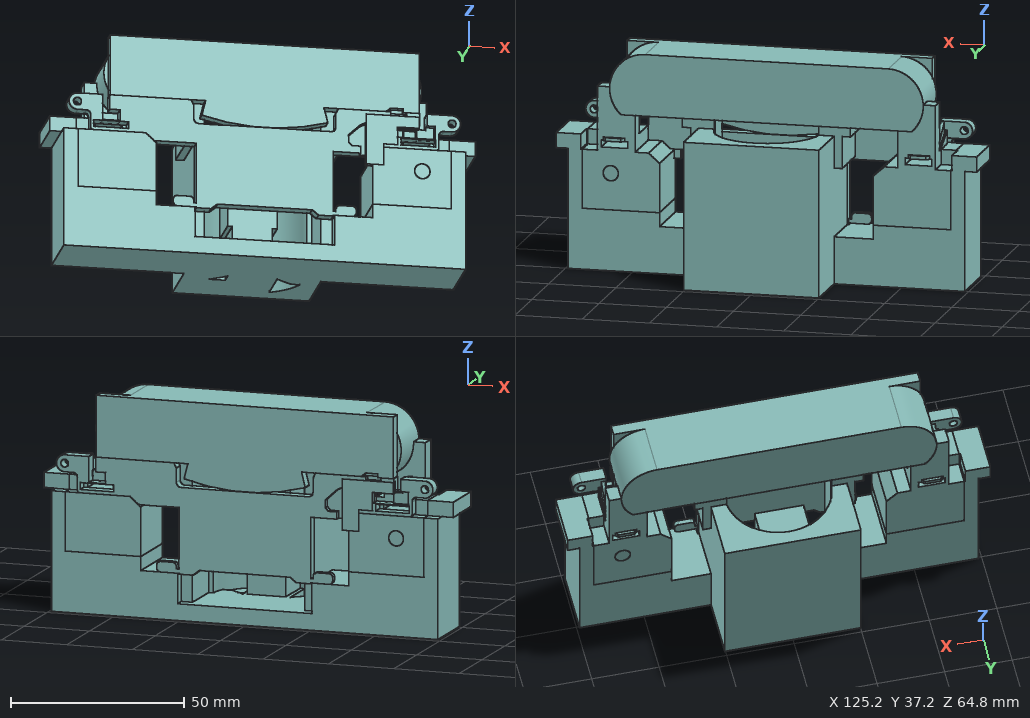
import cadquery as cq

plate_depth = 3.4
body_depth = 19.1
total_depth = 37.2
total_height = 64.8
joint_z = 35.7
split_z = 46.5

base_half = 59.1
wing_half = 62.6
wing_top = 40.2
window_floor = 14.0
tower_half = 20.1
tower_top = 43.9
shoulder_half = 22.5
shoulder_z = 34.4
flange_half = 25.0
slot_half = 20.5
slot_floor = 5.0
cavity_half = 17.1
bore_radius = 15.6
bore_y = 17.5
rib_half_top = 7.3
rib_half_bottom = 5.9
rib_step_z = 15.3
rib_top = 37.5
opening_y = 22.9
opening_corner_x = 12.0
opening_outer_x = 14.6
floor_drop = 0.6

insert_inner = 31.8
insert_outer = 54.8
insert_floor = 18.1
insert_chamfer_x = 3.3
insert_chamfer_z = 2.9
shelf_inner = 39.0
shelf_step_y = 12.4
shelf_clearance = 0.4
saddle_half = 50.3
saddle_front = 14.3
saddle_top = 54.7
slot_bottom = 36.7
slot_top = 38.7
slot_near = 41.3
slot_far = 49.2
gusset_front = 5.0
gusset_back = 13.0
outer_gusset_near = 49.8
outer_gusset_top = 44.2
inner_gusset_near = 48.3
inner_gusset_far = 49.4
contact_back = 4.3
contact_top = 42.0
left_contact_near = 42.5
left_contact_far = 47.5
right_contact_near = 41.4
right_contact_far = 44.8
bump_near = 42.2
bump_far = 48.5
bump_height = 0.9
bump_bottom = 38.7
bump_top = 39.7

cover_half = 45.4
cover_radius = 10.5
cover_arc_x = 36.2
bulge_root_half = 17.4
bulge_half = 18.5
bulge_edge_z = 42.0

arm_underside = 33.4
stem_bottom = 13.8
foot_z = 15.3
foot_outer = 15.8
foot_inner = 13.9
arm_end = 45.5
bulge_floor = 39.4
bulge_pocket_half = 20.9
bulge_pocket_fillet = 1.5
pocket_lip = 0.8
ear_depth = 4.0
ear_radius = 2.5
ear_x = 55.1
ear_hole_radius = 1.1
ear_root_radius = 1.4
leg_foot_radius = 0.8
leg_outer = 51.2
leg_inner = 47.7
notch_floor = 38.9
notch_ceiling = 42.2
notch_near = 42.5
right_notch_near = 39.0
right_notch_far = 44.9
leg_recess_far = 50.0
leg_recess_top = 42.9
rim_near = 40.0
rim_far = 50.3
hook_near = 20.9
hook_far = 26.9
hook_top = 17.1
hook_corner = 1.1
hook_depth = 1.6

latch_depth = 1.8
latch_inner = 29.8
latch_outer = 45.4
latch_top = 45.4
latch_arm_underside = 42.0
latch_foot_outer = 34.9
latch_foot_z = 30.3

lever_top = 42.8
lever_shoulder = 28.0
lever_shoulder_drop = 0.9
lever_tip = 24.7
lever_tip_top = 38.8
lever_tip_bottom = 36.5
lever_corner = 1.0
lever_throat = 28.2
lever_slot_near = 37.0
lever_slot_far = 41.7
lever_notch_far = 40.7
lever_notch_top = 47.7
lever_slope = 1.4

pin_x = 46.3
pin_z = 29.0
pin_radius = 2.3


def box(x0, x1, y0, y1, z0, z1):
    return cq.Workplane("XY").box(x1 - x0, y1 - y0, z1 - z0, centered=False).translate((x0, y0, z0))


def slab(points, y0, y1):
    """Extrude an XZ outline from depth y0 to depth y1."""
    return cq.Workplane("XZ", origin=(0, y0, 0)).polyline(points).close().extrude(y0 - y1)


def cylinder_y(x, z, radius, y0, y1):
    return cq.Workplane("XZ", origin=(x, y0, z)).circle(radius).extrude(y0 - y1)


def mirrored(solid):
    return solid.mirror("YZ")


def both_sides(solid):
    return solid.union(mirrored(solid))


def insert_profile():
    return [
        (insert_inner, insert_floor),
        (insert_outer, insert_floor),
        (insert_outer, joint_z),
        (insert_inner + insert_chamfer_x, joint_z),
        (insert_inner, joint_z - insert_chamfer_z),
    ]


def latch_profile():
    return [
        (latch_inner, latch_foot_z),
        (latch_foot_outer, latch_foot_z),
        (latch_foot_outer, slot_bottom),
        (right_notch_near, slot_bottom),
        (right_notch_near, latch_arm_underside),
        (latch_outer, latch_arm_underside),
        (latch_outer, latch_top),
        (latch_inner, latch_top),
    ]


def cover_bar():
    """Long bar with round ends and a flat underside."""
    arc_z = total_height - cover_radius
    bar = cq.Workplane("XZ", origin=(0, plate_depth, arc_z)).slot2D(
        2 * (cover_arc_x + cover_radius), 2 * cover_radius
    ).extrude(plate_depth - body_depth)
    return bar.intersect(box(-wing_half, wing_half, 0, total_depth, split_z, total_height))


def bore_cylinder(z0, z1):
    return cq.Workplane("XY", origin=(0, bore_y, z0)).circle(bore_radius).extrude(z1 - z0)


def base_body():
    """Trough with side wings, open for the window and the two inserts."""
    body = box(-base_half, base_half, 0, body_depth, 0, joint_z)
    body = body.union(box(-wing_half, wing_half, plate_depth, body_depth, joint_z, wing_top))
    body = body.cut(box(-insert_inner, insert_inner, 0, body_depth, window_floor, wing_top))
    body = body.cut(both_sides(box(insert_inner, insert_outer, 0, body_depth, insert_floor, wing_top)))
    clearance_end = insert_outer + shelf_clearance
    clearance = box(insert_outer, clearance_end, shelf_step_y, body_depth, joint_z, wing_top)
    return body.cut(both_sides(clearance))


def tower():
    """Central block, widened in two steps under the cover."""
    core = box(-tower_half, tower_half, plate_depth, total_depth, 0, tower_top)
    shoulder = box(-shoulder_half, shoulder_half, plate_depth, body_depth, shoulder_z, tower_top)
    flange = box(-flange_half, flange_half, plate_depth, body_depth, tower_top, split_z)
    return core.union(shoulder).union(flange)


def bore_rib():
    """Rib at the back of the bore, narrower at its foot."""
    head = box(-rib_half_top, rib_half_top, body_depth, total_depth, rib_step_z, rib_top)
    foot = box(-rib_half_bottom, rib_half_bottom, body_depth, total_depth, slot_floor, rib_step_z)
    return head.union(foot).intersect(bore_cylinder(slot_floor, rib_top))


def floor_openings():
    """Openings in the bore floor: a triangle at the left, one reaching the bore wall at the right."""
    triangle = [(rib_half_top, body_depth), (opening_corner_x, opening_y), (rib_half_top, opening_y)]
    wedge = cq.Workplane("XY").polyline(triangle).close().extrude(slot_floor)
    segment = box(rib_half_top, opening_outer_x, opening_y, total_depth, 0, slot_floor)
    segment = segment.intersect(bore_cylinder(0, slot_floor))
    return mirrored(wedge).union(wedge).union(segment)


def dropped_floor():
    """Shallow step in the left part of the bore floor."""
    step_z = slot_floor - floor_drop
    step = box(-opening_outer_x, -rib_half_bottom, opening_y, total_depth, step_z, slot_floor)
    return step.intersect(bore_cylinder(step_z, slot_floor))


def make_base():
    base = base_body().union(tower())
    base = base.cut(box(-slot_half, slot_half, 0, plate_depth, slot_floor, window_floor))
    base = base.cut(box(-cavity_half, cavity_half, plate_depth, bore_y, slot_floor, split_z))
    base = base.cut(bore_cylinder(slot_floor, split_z)).union(bore_rib())
    return base.cut(floor_openings()).cut(dropped_floor())


def gusset(x0, x1, top):
    triangle = [(gusset_front, wing_top), (gusset_back, wing_top), (gusset_front, top)]
    return cq.Workplane("YZ", origin=(x0, 0, 0)).polyline(triangle).close().extrude(x1 - x0)


def make_insert(contact_near, contact_far):
    """Insert on the right-hand side, without latch recess or pin hole."""
    insert = slab(insert_profile(), 0, body_depth)
    insert = insert.union(box(shelf_inner, insert_outer, plate_depth, body_depth, joint_z, wing_top))
    insert = insert.cut(box(saddle_half, insert_outer, shelf_step_y, body_depth, joint_z, wing_top))
    saddle = box(shelf_inner, saddle_half, saddle_front, body_depth, wing_top, saddle_top)
    insert = insert.union(saddle.cut(cover_bar()))
    insert = insert.union(gusset(outer_gusset_near, saddle_half, outer_gusset_top))
    insert = insert.union(gusset(inner_gusset_near, inner_gusset_far, split_z))
    insert = insert.union(box(contact_near, contact_far, plate_depth, contact_back, slot_top, contact_top))
    insert = insert.cut(box(slot_near, slot_far, 0, body_depth, slot_bottom, slot_top))
    bump_back = body_depth + bump_height
    bump = [
        (bump_near, body_depth),
        (bump_near + bump_height, bump_back),
        (bump_far - bump_height, bump_back),
        (bump_far, body_depth),
    ]
    bump_plane = cq.Workplane("XY", origin=(0, 0, bump_bottom))
    return insert.union(bump_plane.polyline(bump).close().extrude(bump_top - bump_bottom))


def make_right_insert():
    insert = make_insert(right_contact_near, right_contact_far).cut(slab(latch_profile(), 0, latch_depth))
    return insert.cut(cylinder_y(pin_x, pin_z, pin_radius, 0, body_depth))


def make_cover():
    cover = box(-cover_half, cover_half, 0, plate_depth, split_z, total_height).union(cover_bar())
    bulge = (
        cq.Workplane("XZ")
        .moveTo(-bulge_root_half, split_z)
        .lineTo(-bulge_half, bulge_edge_z)
        .threePointArc((0, bulge_floor), (bulge_half, bulge_edge_z))
        .lineTo(bulge_root_half, split_z)
        .close()
        .extrude(-plate_depth)
    )
    cover = cover.union(bulge)
    notch = [
        (lever_slot_near - lever_slope, split_z),
        (lever_slot_near, lever_notch_top),
        (lever_notch_far, lever_notch_top),
        (lever_notch_far, split_z),
    ]
    return cover.cut(slab(notch, 0, latch_depth))


def carriage_half():
    chamfer_run = (joint_z - arm_underside) * insert_chamfer_x / insert_chamfer_z
    chamfer_top = insert_inner + insert_chamfer_x
    outline = [
        (0, foot_z),
        (foot_inner, foot_z),
        (foot_outer, stem_bottom),
        (tower_half, stem_bottom),
        (tower_half, arm_underside),
        (chamfer_top - chamfer_run, arm_underside),
        (chamfer_top, joint_z),
        (leg_outer, joint_z),
        (leg_outer, split_z),
        (0, split_z),
    ]
    half = slab(outline, 0, plate_depth)
    half = half.faces(">X").edges("|Y and <Z").fillet(leg_foot_radius)

    ear_z = split_z - ear_radius
    root_z = ear_z - ear_radius - ear_root_radius
    root_x = leg_outer + ear_root_radius
    ear = box(leg_inner, ear_x, 0, ear_depth, ear_z - ear_radius, split_z)
    ear = ear.union(cylinder_y(ear_x, ear_z, ear_radius, 0, ear_depth))
    root = box(leg_outer, root_x, 0, plate_depth, root_z, ear_z)
    root = root.cut(cylinder_y(root_x, root_z, ear_root_radius, 0, plate_depth))
    half = half.union(root).union(ear).cut(cylinder_y(ear_x, ear_z, ear_hole_radius, 0, ear_depth))

    hook = box(hook_near, hook_far, 0, hook_depth, window_floor, hook_top)
    hook = hook.edges("|Y").edges(">X or >Z").fillet(hook_corner)
    hook = hook.union(box(tower_half, hook_near, 0, hook_depth, window_floor, foot_z))
    half = half.union(hook)

    half = half.cut(box(arm_end, leg_inner, 0, plate_depth, notch_ceiling, split_z))
    return half.cut(box(rim_near, rim_far, 0, plate_depth, slot_bottom, slot_top))


def make_carriage():
    carriage = both_sides(carriage_half())

    pocket = box(
        -bulge_pocket_half, bulge_pocket_half, 0, plate_depth, bulge_floor, split_z
    ).edges("|Y and <Z").fillet(bulge_pocket_fillet)
    lip = [
        (bulge_pocket_half, split_z),
        (bulge_pocket_half + pocket_lip, split_z),
        (bulge_pocket_half, split_z - 2 * pocket_lip),
    ]
    carriage = carriage.cut(pocket).cut(both_sides(slab(lip, 0, plate_depth)))

    left_notch = box(notch_near, leg_inner, 0, plate_depth, notch_floor, notch_ceiling)
    right_notch = box(right_notch_near, right_notch_far, 0, plate_depth, notch_floor, notch_ceiling)
    leg_recess = box(right_notch_far, leg_recess_far, 0, latch_depth, notch_floor, leg_recess_top)
    carriage = carriage.cut(mirrored(left_notch)).cut(right_notch).cut(leg_recess)

    hooked_end = [
        (latch_inner, lever_top),
        (lever_shoulder, lever_top - lever_shoulder_drop),
        (lever_tip, lever_tip_top),
        (lever_tip, lever_tip_bottom),
        (lever_tip + lever_corner, lever_tip_bottom - lever_corner),
        (lever_throat, lever_tip_bottom - lever_corner),
        (lever_throat, arm_underside),
        (latch_inner, arm_underside),
    ]
    carriage = carriage.cut(slab(hooked_end, 0, latch_depth))
    carriage = carriage.cut(box(lever_slot_near, lever_slot_far, 0, latch_depth, latch_top, split_z))
    return carriage.cut(slab(latch_profile(), 0, latch_depth))


base = make_base()
left_insert = mirrored(make_insert(left_contact_near, left_contact_far))
right_insert = make_right_insert()
pin = cylinder_y(pin_x, pin_z, pin_radius, 0, body_depth)
latch = slab(latch_profile(), 0, latch_depth)
carriage = make_carriage()
cover = make_cover()

bodies = [base, left_insert, right_insert, pin, latch, carriage, cover]
result = cq.Compound.makeCompound([body.solids().val() for body in bodies])